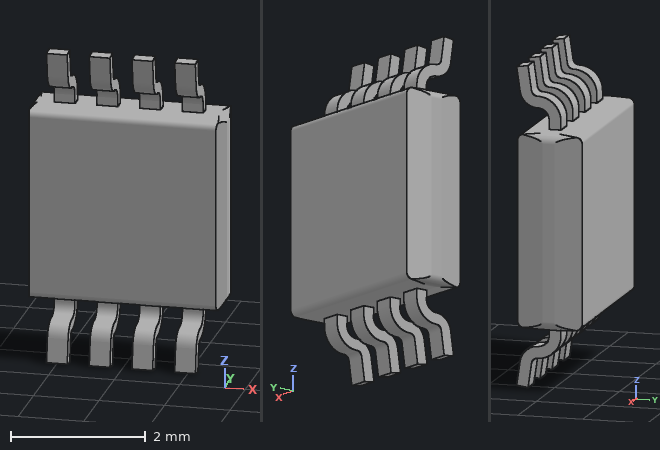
import cadquery as cq
import math

body_size = 3.0
body_thickness = 1.0
side_draft = 10
end_draft = 5
corner_radius = 0.145
long_edge_radius = 0.1

lead_count = 4
lead_pitch = 0.65
lead_width = 0.32
lead_thickness = 0.18
lead_span = 4.9
lead_stub = 0.13
first_bend_radius = 0.18
second_bend_radius = 0.095
foot_tilt = 8.2
lead_embed = 0.245

half_size = body_size / 2
half_thickness = body_thickness / 2
half_lead = lead_thickness / 2


def drafted_section(plane, draft):
    """Eight-sided section with a flat parting band, extruded across the whole body."""
    inset = (half_thickness - half_lead) * math.tan(math.radians(draft))
    face = half_size - inset
    outline = [
        (half_size, -half_lead),
        (half_size, half_lead),
        (face, half_thickness),
        (-face, half_thickness),
        (-half_size, half_lead),
        (-half_size, -half_lead),
        (-face, -half_thickness),
        (face, -half_thickness),
    ]
    return cq.Workplane(plane).polyline(outline).close().extrude(half_size, both=True)


def make_body():
    end_plane = cq.Plane(origin=(0, 0, 0), xDir=(0, 0, 1), normal=(-1, 0, 0))
    end_section = drafted_section(end_plane, end_draft)
    end_section = end_section.faces("<Y or >Y").edges("|X").fillet(long_edge_radius)
    side_section = drafted_section("XY", side_draft)
    rounded_block = (
        cq.Workplane("XZ")
        .rect(body_size, body_size)
        .extrude(half_thickness, both=True)
        .edges("|Y")
        .fillet(corner_radius)
    )
    return rounded_block.intersect(end_section).intersect(side_section)


def arc_point(center, radius, angle):
    """Point on a circle in the YZ plane, with the angle in degrees from +Y."""
    turn = math.radians(angle)
    return (center[0] + radius * math.cos(turn), center[1] + radius * math.sin(turn))


def make_upper_lead():
    """Gull-wing lead at X = 0 that leaves the top of the body and bends toward -Y."""
    first_outer = first_bend_radius + lead_thickness
    second_outer = second_bend_radius + lead_thickness
    first_center = (half_lead - first_outer, half_size + lead_stub)
    second_center = (first_center[0], first_center[1] + first_outer + second_bend_radius)

    bend_start = 270
    bend_end = 180 + foot_tilt
    bend_middle = (bend_start + bend_end) / 2
    foot_inner_start = arc_point(second_center, second_bend_radius, bend_end)
    foot_outer_start = arc_point(second_center, second_outer, bend_end)

    foot_rise = lead_span / 2 - foot_inner_start[1]
    foot_run = foot_rise * math.tan(math.radians(foot_tilt))
    foot_inner_tip = (foot_inner_start[0] - foot_run, foot_inner_start[1] + foot_rise)
    foot_outer_tip = (foot_outer_start[0] - foot_run, foot_outer_start[1] + foot_rise)

    root = half_size - lead_embed
    return (
        cq.Workplane("YZ")
        .moveTo(half_lead, root)
        .lineTo(half_lead, first_center[1])
        .threePointArc(arc_point(first_center, first_outer, 45), arc_point(first_center, first_outer, 90))
        .threePointArc(arc_point(second_center, second_bend_radius, bend_middle), foot_inner_start)
        .lineTo(*foot_inner_tip)
        .lineTo(*foot_outer_tip)
        .lineTo(*foot_outer_start)
        .threePointArc(
            arc_point(second_center, second_outer, bend_middle),
            arc_point(second_center, second_outer, bend_start),
        )
        .threePointArc(
            arc_point(first_center, first_bend_radius, 45),
            arc_point(first_center, first_bend_radius, 0),
        )
        .lineTo(-half_lead, root)
        .close()
        .extrude(lead_width / 2, both=True)
    )


upper_lead = make_upper_lead()
lower_lead = upper_lead.mirror("XY")

result = make_body()
for index in range(lead_count):
    lead_x = (index - (lead_count - 1) / 2) * lead_pitch
    for lead in (upper_lead, lower_lead):
        result = result.union(lead.translate((lead_x, 0, 0)))